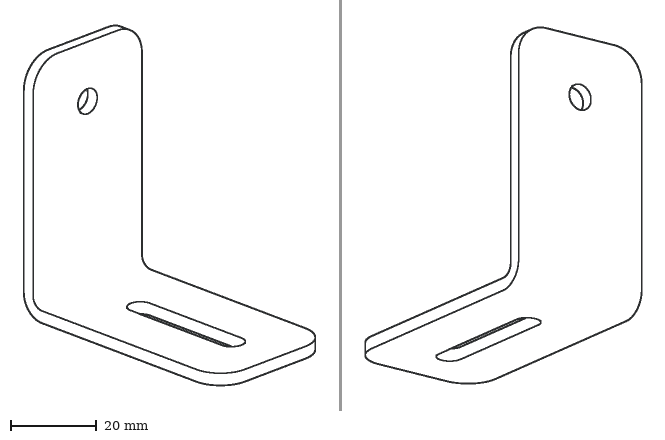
import cadquery as cq

leg_length = 65.0
width = 36.0
thickness = 3.1
bend_inner_radius = 2.85
corner_radius = 8.0
opening_width = 6.3
hole_from_top = 15.0
slot_length = 36.45
slot_center_x = 35.6

bend_outer_radius = bend_inner_radius + thickness


def bent_strip():
    """L-shaped strip with concentric bend radii, centred on Y = 0."""
    profile = (
        cq.Workplane("XZ")
        .polyline([
            (0, 0),
            (leg_length, 0),
            (leg_length, thickness),
            (thickness, thickness),
            (thickness, leg_length),
            (0, leg_length),
        ])
        .close()
    )
    strip = profile.extrude(width / 2, both=True)
    inner_edge = cq.selectors.NearestToPointSelector((thickness, 0, thickness))
    outer_edge = cq.selectors.NearestToPointSelector((0, 0, 0))
    strip = strip.edges("|Y").edges(inner_edge).fillet(bend_inner_radius)
    return strip.edges("|Y").edges(outer_edge).fillet(bend_outer_radius)


def round_free_corners(bracket):
    """Round the two corners at the free end of each leg."""
    bracket = bracket.faces(">X").edges("|Z").fillet(corner_radius)
    return bracket.faces(">Z").edges("|X").fillet(corner_radius)


def upright_hole():
    """Round cutter through the upright leg."""
    return (
        cq.Workplane("YZ")
        .center(0, leg_length - hole_from_top)
        .circle(opening_width / 2)
        .extrude(thickness)
    )


def base_slot():
    """Slot cutter through the base leg, running along X."""
    return (
        cq.Workplane("XY")
        .center(slot_center_x, 0)
        .slot2D(slot_length, opening_width)
        .extrude(thickness)
    )


result = round_free_corners(bent_strip()).cut(upright_hole()).cut(base_slot())